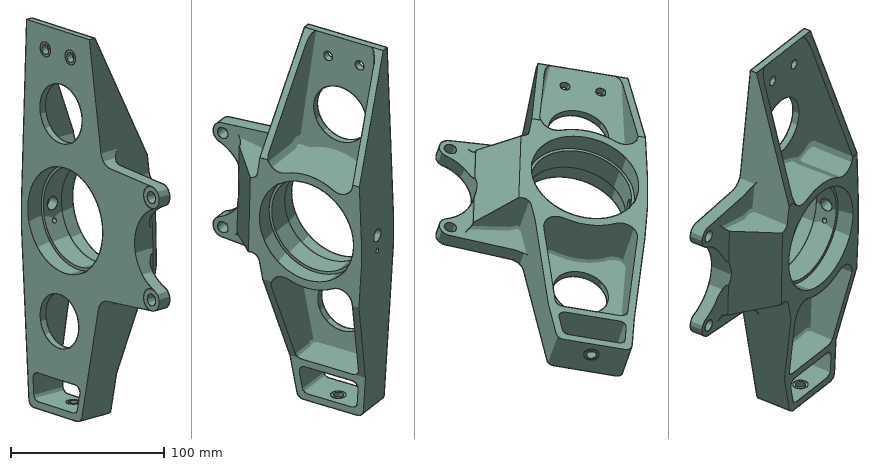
import cadquery as cq
import math


DEPTH = 40.0
TOP_Z = 129.0
BOTTOM_Z = -134.6
LEFT_X = -42.0
LEFT_FLAT_TOP_Z = 7.0
LEFT_FLAT_BOTTOM_Z = -16.0
TOP_LEFT_X = -37.2
TOP_RIGHT_X = 23.2
BOTTOM_LEFT_X = -34.7
BOTTOM_RIGHT_X = 15.2
UPPER_CORNER_X = 35.5
LOWER_CORNER_X = 33.3
OUTER_FILLET = 5.0

TOP_EDGE_DEPTH = 5.0
TOP_TAPER_START_Z = 44.7
BOTTOM_TAPER_START_Z = -45.2
BOTTOM_TAPER_END_Z = -104.9
FOOT_DEPTH = 26.0

EAR_DEPTH = 9.5
EAR_X = 82.95
EAR_Z = 35.0
EAR_RADIUS = 7.5
EAR_HOLE_DIAMETER = 8.0
EAR_EDGE_ANGLE = math.radians(4.3)
EAR_ROOT_FILLET = 10.0
SCALLOP_LEFT_X = 66.7
RIB_TOP_X = 43.7
RIB_END_X = 68.0
RIB_END_Z = 32.5
RIB_END_DEPTH = 14.7
RIB_END_SKEW = math.radians(1.5)
RIB_SIDE_ANGLE = math.radians(11)
RIB_ROOT_FILLET = 6.0
RIB_FOOT_FILLET = 5.0

SEAT_DIAMETER = 72.0
SHOULDER_DIAMETER = 68.0
SEAT_DEPTH = 12.0

FLOOR = 5.0
WALL = 5.0
UPPER_HOLE = (-4.1, 72.0, 40.5)
LOWER_HOLE = (-5.6, -70.0, 37.0)
BORE_WALL_RADIUS = 42.0
POCKET_START_Z = BORE_WALL_RADIUS / 4
POCKET_FILLET = 10.0
FLOOR_FILLET = 4.5
LOWER_POCKET_BOTTOM_Z = -105.0
LOWER_POCKET_CORNER = 5.0

WINDOW_TOP_Z = -110.0
WINDOW_BOTTOM_Z = BOTTOM_Z + WALL
WINDOW_FILLET = 4.5

BOLT_DIAMETER = 6.6
PAD_DIAMETER = 10.0
PAD_HEIGHT = 0.1
TOP_BOLT_XS = (-19.0, 5.0)
TOP_BOLT_Z = 112.7
FOOT_BOLT_X = -9.9
FOOT_BOLT_Y = 16.5
FOOT_PAD_HEIGHT = 0.6

SENSOR_DIAMETER = 9.0
SENSOR_SCREW_DIAMETER = 3.2
SENSOR_SCREW_Z = -11.5

PICK_MARGIN = 0.5


def interpolate(start, end, z):
    """X at height z on the straight line from start to end, both given as (x, z)."""
    share = (z - start[1]) / (end[1] - start[1])
    return start[0] + share * (end[0] - start[0])


EAR_TANGENT_X = EAR_X + EAR_RADIUS * math.sin(EAR_EDGE_ANGLE)
EAR_TANGENT_Z = EAR_Z + EAR_RADIUS * math.cos(EAR_EDGE_ANGLE)


def ear_edge_z(x):
    """Height of the upper ear edge at x; the lower edge is its mirror image."""
    return EAR_TANGENT_Z + (EAR_TANGENT_X - x) * math.tan(EAR_EDGE_ANGLE)


TOP_LEFT = (TOP_LEFT_X, TOP_Z)
TOP_RIGHT = (TOP_RIGHT_X, TOP_Z)
BOTTOM_LEFT = (BOTTOM_LEFT_X, BOTTOM_Z)
BOTTOM_RIGHT = (BOTTOM_RIGHT_X, BOTTOM_Z)
LEFT_FLAT_TOP = (LEFT_X, LEFT_FLAT_TOP_Z)
LEFT_FLAT_BOTTOM = (LEFT_X, LEFT_FLAT_BOTTOM_Z)
UPPER_CORNER = (UPPER_CORNER_X, ear_edge_z(UPPER_CORNER_X))
LOWER_CORNER = (LOWER_CORNER_X, -ear_edge_z(LOWER_CORNER_X))


def slab(outline, start, end):
    """Extrude a closed wire drawn in XZ from Y = start to Y = end."""
    return outline.extrude(start - end).translate((0, start, 0))


def polygon(points):
    """Closed XZ outline through the given (x, z) points."""
    return cq.Workplane("XZ").polyline(points).close()


def cylinder_y(x, z, diameter, start, end):
    """Cylinder along Y, centred on (x, z), from Y = start to Y = end."""
    return slab(cq.Workplane("XZ").center(x, z).circle(diameter / 2), start, end)


def fillet_corners(solid, corners, radius):
    """Round the edges that run along Y through the given (x, z) corners."""
    for x, z in corners:
        near = cq.selectors.BoxSelector(
            (x - PICK_MARGIN, 0, z - PICK_MARGIN), (x + PICK_MARGIN, DEPTH, z + PICK_MARGIN)
        )
        solid = solid.edges("|Y").edges(near).fillet(radius)
    return solid


def make_outline():
    """Full-depth block with the part's front outline: both ears joined by a scallop tangent to them."""
    reach = EAR_X - SCALLOP_LEFT_X
    scallop_radius = (reach**2 + EAR_Z**2 - EAR_RADIUS**2) / (2 * (reach + EAR_RADIUS))
    scallop_x = SCALLOP_LEFT_X + scallop_radius
    share = EAR_RADIUS / (EAR_RADIUS + scallop_radius)
    meet_x = EAR_X + share * (scallop_x - EAR_X)
    meet_z = EAR_Z * (1 - share)
    outline = (
        cq.Workplane("XZ")
        .moveTo(*TOP_LEFT)
        .lineTo(*TOP_RIGHT)
        .lineTo(*UPPER_CORNER)
        .lineTo(EAR_TANGENT_X, EAR_TANGENT_Z)
        .threePointArc((EAR_X + EAR_RADIUS, EAR_Z), (meet_x, meet_z))
        .threePointArc((SCALLOP_LEFT_X, 0), (meet_x, -meet_z))
        .threePointArc((EAR_X + EAR_RADIUS, -EAR_Z), (EAR_TANGENT_X, -EAR_TANGENT_Z))
        .lineTo(*LOWER_CORNER)
        .lineTo(*BOTTOM_RIGHT)
        .lineTo(*BOTTOM_LEFT)
        .lineTo(*LEFT_FLAT_BOTTOM)
        .lineTo(*LEFT_FLAT_TOP)
        .close()
    )
    block = slab(outline, 0, DEPTH)
    return fillet_corners(block, (UPPER_CORNER, LOWER_CORNER), EAR_ROOT_FILLET)


def rib_root(start, end):
    """Point where the upper side of the rib meets the body edge running from start to end."""
    side_slope = math.tan(RIB_SIDE_ANGLE)
    edge_slope = (end[0] - start[0]) / (end[1] - start[1])
    edge_x_at_axis = interpolate(start, end, 0)
    z = (RIB_END_Z - (RIB_END_X - edge_x_at_axis) * side_slope) / (1 - edge_slope * side_slope)
    return (interpolate(start, end, z), z)


def make_body():
    """Full-depth body with the rib toward the ears, before any taper."""
    upper_root = rib_root(TOP_RIGHT, UPPER_CORNER)
    mirrored_root = rib_root((BOTTOM_RIGHT_X, -BOTTOM_Z), (LOWER_CORNER_X, -LOWER_CORNER[1]))
    lower_root = (mirrored_root[0], -mirrored_root[1])
    skew_shift = RIB_END_Z * math.tan(RIB_END_SKEW)
    upper_end = (RIB_END_X - skew_shift, RIB_END_Z)
    lower_end = (RIB_END_X + skew_shift, -RIB_END_Z)
    outline = polygon([
        TOP_LEFT, TOP_RIGHT, upper_root, upper_end, lower_end, lower_root, BOTTOM_RIGHT, BOTTOM_LEFT,
        LEFT_FLAT_BOTTOM, LEFT_FLAT_TOP,
    ])
    body = fillet_corners(slab(outline, 0, DEPTH), (upper_root, lower_root), RIB_ROOT_FILLET)
    clear_x = RIB_END_X + EAR_RADIUS
    rib_slope = (
        cq.Workplane("XY")
        .polyline([
            (RIB_TOP_X, DEPTH), (RIB_END_X, RIB_END_DEPTH), (clear_x, RIB_END_DEPTH), (clear_x, DEPTH),
        ])
        .close()
        .extrude(EAR_TANGENT_Z, both=True)
        .rotate((0, 0, 0), (0, 1, 0), -math.degrees(RIB_END_SKEW))
    )
    return body.cut(rib_slope)


def add_ear_plate(body):
    """Set the body on an oversize ear plate and round the corner between them."""
    half_height = EAR_TANGENT_Z + 2 * EAR_ROOT_FILLET
    plate = cq.Workplane("XY").box(
        EAR_X + EAR_RADIUS, EAR_DEPTH, 2 * half_height, centered=(False, False, True)
    )
    foot = cq.selectors.BoxSelector(
        (0, EAR_DEPTH - PICK_MARGIN, PICK_MARGIN - half_height),
        (EAR_X, EAR_DEPTH + PICK_MARGIN, half_height - PICK_MARGIN),
    )
    return body.union(plate).edges(foot).fillet(RIB_FOOT_FILLET)


def taper_cut():
    """Material removed behind the sloping rear faces, above and below the bore."""
    far = 2 * DEPTH
    upper = [(DEPTH, TOP_TAPER_START_Z), (TOP_EDGE_DEPTH, TOP_Z), (far, TOP_Z)]
    lower = [
        (DEPTH, BOTTOM_TAPER_START_Z), (FOOT_DEPTH, BOTTOM_TAPER_END_Z), (FOOT_DEPTH, BOTTOM_Z),
        (far, BOTTOM_Z),
    ]
    cut = cq.Workplane("YZ").polyline(upper).close().extrude(far, both=True)
    return cut.union(cq.Workplane("YZ").polyline(lower).close().extrude(far, both=True))


def side_inset(start, end):
    """Horizontal width of a side wall that is WALL thick between start and end."""
    return WALL * math.dist(start, end) / abs(end[1] - start[1])


def inner_left(start, end, z):
    """Inner face of the left wall at height z, for the outer edge from start to end."""
    return (interpolate(start, end, z) + side_inset(start, end), z)


def inner_right(start, end, z):
    """Inner face of the right wall at height z, for the outer edge from start to end."""
    return (interpolate(start, end, z) - side_inset(start, end), z)


def make_pocket(corners, bottom_corners):
    """Rear pocket that wraps around the bore wall; its inner corners and floor are rounded."""
    pocket = slab(polygon(corners), FLOOR, DEPTH)
    pocket = fillet_corners(pocket, bottom_corners, LOWER_POCKET_CORNER)
    pocket = pocket.cut(cylinder_y(0, 0, 2 * BORE_WALL_RADIUS, 0, DEPTH))
    root = cq.selectors.BoxSelector(
        (LEFT_X, 0, -BORE_WALL_RADIUS), (UPPER_CORNER_X, DEPTH, BORE_WALL_RADIUS)
    )
    pocket = pocket.edges("|Y").edges(root).fillet(POCKET_FILLET)
    return pocket.faces("<Y").edges().fillet(FLOOR_FILLET)


def upper_pocket():
    """Pocket above the bore, open through the top of the body."""
    over = TOP_Z + 2 * FLOOR_FILLET
    corners = [
        inner_left(LEFT_FLAT_TOP, TOP_LEFT, POCKET_START_Z),
        inner_left(LEFT_FLAT_TOP, TOP_LEFT, over),
        inner_right(UPPER_CORNER, TOP_RIGHT, over),
        inner_right(UPPER_CORNER, TOP_RIGHT, POCKET_START_Z),
    ]
    return make_pocket(corners, ())


def lower_pocket():
    """Pocket below the bore, closed by a cross wall above the foot window."""
    bottom = [
        inner_right(LOWER_CORNER, BOTTOM_RIGHT, LOWER_POCKET_BOTTOM_Z),
        inner_left(LEFT_FLAT_BOTTOM, BOTTOM_LEFT, LOWER_POCKET_BOTTOM_Z),
    ]
    top = [
        inner_left(LEFT_FLAT_BOTTOM, BOTTOM_LEFT, -POCKET_START_Z),
        inner_right(LOWER_CORNER, BOTTOM_RIGHT, -POCKET_START_Z),
    ]
    return make_pocket(bottom + top, bottom)


def foot_window():
    """Rounded window through the foot, one wall thickness inside the outline."""
    corners = [
        inner_left(LEFT_FLAT_BOTTOM, BOTTOM_LEFT, WINDOW_TOP_Z),
        inner_right(LOWER_CORNER, BOTTOM_RIGHT, WINDOW_TOP_Z),
        inner_right(LOWER_CORNER, BOTTOM_RIGHT, WINDOW_BOTTOM_Z),
        inner_left(LEFT_FLAT_BOTTOM, BOTTOM_LEFT, WINDOW_BOTTOM_Z),
    ]
    return slab(polygon(corners), 0, DEPTH).edges("|Y").fillet(WINDOW_FILLET)


part = add_ear_plate(make_body()).intersect(make_outline())
part = part.cut(taper_cut())
part = fillet_corners(part, (BOTTOM_LEFT, BOTTOM_RIGHT), OUTER_FILLET)
part = part.cut(upper_pocket()).cut(lower_pocket()).cut(foot_window())

part = part.cut(cylinder_y(0, 0, SHOULDER_DIAMETER, 0, DEPTH))
part = part.cut(cylinder_y(0, 0, SEAT_DIAMETER, 0, SEAT_DEPTH))
part = part.cut(cylinder_y(0, 0, SEAT_DIAMETER, DEPTH - SEAT_DEPTH, DEPTH))

for x, z, diameter in (UPPER_HOLE, LOWER_HOLE):
    part = part.cut(cylinder_y(x, z, diameter, 0, DEPTH))

bolts = [(EAR_X, z, 2 * EAR_RADIUS, EAR_HOLE_DIAMETER) for z in (-EAR_Z, EAR_Z)]
bolts += [(x, TOP_BOLT_Z, PAD_DIAMETER, BOLT_DIAMETER) for x in TOP_BOLT_XS]
for x, z, pad_diameter, hole_diameter in bolts:
    part = part.union(cylinder_y(x, z, pad_diameter, -PAD_HEIGHT, 0))
    part = part.cut(cylinder_y(x, z, hole_diameter, -PAD_HEIGHT, DEPTH))

foot = cq.Workplane("XY", origin=(FOOT_BOLT_X, FOOT_BOLT_Y, BOTTOM_Z - FOOT_PAD_HEIGHT))
foot_length = WALL + FOOT_PAD_HEIGHT + PAD_HEIGHT
part = part.union(foot.circle(PAD_DIAMETER / 2).extrude(foot_length))
part = part.cut(foot.circle(BOLT_DIAMETER / 2).extrude(foot_length))

for z, diameter in ((0, SENSOR_DIAMETER), (SENSOR_SCREW_Z, SENSOR_SCREW_DIAMETER)):
    sensor = cq.Workplane("YZ", origin=(LEFT_X, DEPTH / 2, z)).circle(diameter / 2)
    part = part.cut(sensor.extrude(-LEFT_X))

result = part